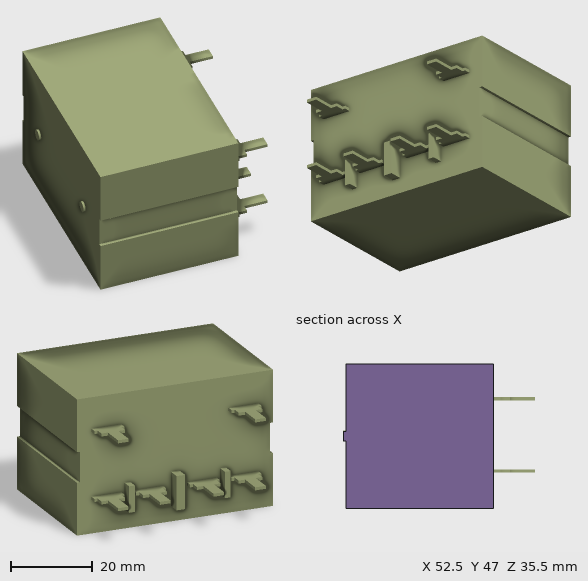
import cadquery as cq

body_width = 52.5
body_depth = 36.2
body_height = 35.5
groove_height = 8.0
groove_depth = 0.8

stud_diameter = 2.75
stud_length = 0.6
stud_offset = 14.95

terminal_thickness = 0.8
base_width = 8.0
shoulder_width = 6.35
tip_width = 2.85
base_reach = 1.8
shoulder_reach = 4.1
tip_reach = 10.2
outer_terminal_x = 18.4
inner_terminal_x = 7.2
upper_row_z = 9.15
lower_row_z = -8.55
base_widening = 0.1

rib_z = -9.25
center_rib_size = (2.25, 3.5, 8.9)
side_rib_size = (1.5, 2.95, 6.9)
side_rib_x = 12.8

front_y = -body_depth / 2
back_y = body_depth / 2


def back_block(x, z, width, reach, height):
    """Box standing on the back face, centered on x and z."""
    block = cq.Workplane("XY").box(width, reach, height, centered=(True, False, True))
    return block.translate((x, back_y, z))


def terminal(x, z):
    """Flat terminal that narrows in two steps from base to tip."""
    base = back_block(x, z, base_width, base_reach, terminal_thickness)
    shoulder = back_block(x, z, shoulder_width, shoulder_reach, terminal_thickness)
    tip = back_block(x, z, tip_width, tip_reach, terminal_thickness)
    return base.union(shoulder).union(tip)


result = cq.Workplane("XY").box(body_width, body_depth, body_height)
for side in (-1, 1):
    cutter = cq.Workplane("XY").box(2 * groove_depth, body_depth, groove_height)
    result = result.cut(cutter.translate((side * body_width / 2, 0, 0)))

studs = (
    cq.Workplane("XZ", origin=(0, front_y, 0))
    .pushPoints([(-stud_offset, 0), (stud_offset, 0)])
    .circle(stud_diameter / 2)
    .extrude(stud_length)
)
result = result.union(studs)

for side in (-1, 1):
    result = result.union(terminal(side * outer_terminal_x, upper_row_z))
    result = result.union(terminal(side * outer_terminal_x, lower_row_z))
    result = result.union(terminal(side * inner_terminal_x, lower_row_z))

wide_base = back_block(
    -outer_terminal_x + base_widening / 2,
    lower_row_z,
    base_width + base_widening,
    base_reach,
    terminal_thickness,
)
result = result.union(wide_base)

result = result.union(back_block(0, rib_z, *center_rib_size))
for side in (-1, 1):
    result = result.union(back_block(side * side_rib_x, rib_z, *side_rib_size))